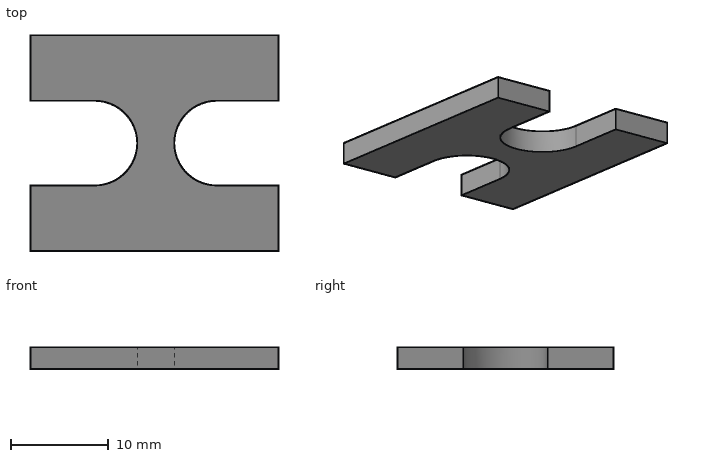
import cadquery as cq

length = 25.4
width = 22.1
thickness = 2.25

slot_width = 8.636
slot_radius = slot_width / 2
left_slot_depth = 10.922
right_slot_depth = 10.668


def open_slot(depth, side):
    """Cutter running in from the plate end at side -1 (-X) or +1 (+X)."""
    end_x = side * length / 2
    arc_center_x = end_x - side * (depth - slot_radius)
    tip_x = end_x - side * depth
    return (
        cq.Workplane("XY")
        .moveTo(end_x, -slot_radius)
        .lineTo(arc_center_x, -slot_radius)
        .threePointArc((tip_x, 0), (arc_center_x, slot_radius))
        .lineTo(end_x, slot_radius)
        .close()
        .extrude(thickness)
    )


plate = cq.Workplane("XY").box(length, width, thickness, centered=(True, True, False))
result = plate.cut(open_slot(left_slot_depth, -1)).cut(open_slot(right_slot_depth, 1))